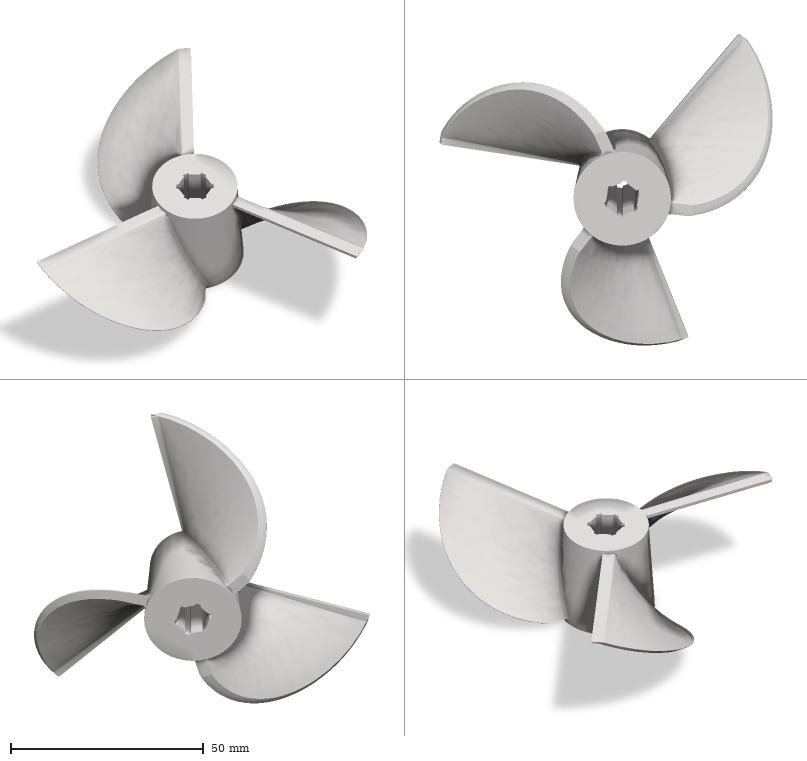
import cadquery as cq
import math

hub_height = 26.4
hub_top_radius = 11.1
hub_bottom_radius = 12.65
base_band_height = 0.5

bore_across_flats = 8.1
notch_width = 1.5
notch_tip_radius = 4.8
notch_count = 6

blade_count = 3
blade_top = 25.4
blade_pitch = 150.0
blade_width = 3.1
blade_root_radius = 8.0
top_edge_round = 0.9
rim_round = 0.2

rim_stations = [(0, 48.2), (14.5, 45.25), (28.3, 40.9), (41.5, 34.4), (51, 26.8), (57.6, 18.4)]
tip_radius = rim_stations[0][1]
final_turn = rim_stations[-1][0]

lip_depth = 1.0
lip_width = 1.9
lip_end_radius = 47.7

flare = 0.8
flare_overlap = 0.03
flare_inner_radius = 9.5
flare_section_count = 8

origin = cq.Vector(0, 0, 0)
z_axis = cq.Vector(0, 0, 1)


def hub_radius(height):
    """Radius of the tapered part of the hub."""
    rise = (height - base_band_height) / (hub_height - base_band_height)
    return hub_bottom_radius + rise * (hub_top_radius - hub_bottom_radius)


def helix_height(turn):
    """Height of the bar's cross section after it has turned by the given angle."""
    return blade_top - blade_pitch * turn / 360


def make_hub():
    """Tapered hub on a short cylindrical band."""
    band = cq.Workplane("XY").circle(hub_bottom_radius).extrude(base_band_height)
    cone = cq.Solid.makeCone(
        hub_bottom_radius,
        hub_top_radius,
        hub_height - base_band_height,
        pnt=cq.Vector(0, 0, base_band_height),
    )
    return band.union(cq.Workplane(cone))


def make_bore():
    """Hexagonal through bore with a notch across every corner."""
    across_corners = bore_across_flats / math.cos(math.pi / notch_count)
    bore = (
        cq.Workplane("XY")
        .polygon(notch_count, across_corners)
        .extrude(hub_height)
        .rotate(origin, z_axis, 180 / notch_count)
    )
    notch_bar = cq.Workplane("XY").rect(notch_width, 2 * notch_tip_radius).extrude(hub_height)
    for index in range(notch_count // 2):
        bore = bore.union(notch_bar.rotate(origin, z_axis, index * 360 / notch_count))
    return bore


def bar_section(turn, end_radius):
    """Horizontal outline of the bar after it has turned by the given angle."""
    return (
        cq.Workplane("XY")
        .workplane(offset=helix_height(turn))
        .moveTo(blade_root_radius, 0)
        .lineTo(end_radius, 0)
        .lineTo(end_radius, blade_width)
        .lineTo(blade_root_radius, blade_width)
        .close()
        .val()
        .rotate(origin, z_axis, turn)
    )


def flare_section(turn):
    """Horizontal outline of the concave flares on both sides of the bar at the hub."""
    height = helix_height(turn)
    radius = hub_radius(height)

    def hub_x(y):
        return math.sqrt(radius**2 - y**2)

    lower_y = -flare
    upper_y = blade_width + flare
    pull = flare * (1 - math.cos(math.pi / 4))
    return (
        cq.Workplane("XY")
        .workplane(offset=height)
        .moveTo(flare_inner_radius, lower_y)
        .lineTo(hub_x(lower_y) - flare_overlap, lower_y)
        .threePointArc((hub_x(0) + pull, -pull), (hub_x(0) + flare, flare_overlap))
        .lineTo(hub_x(blade_width) + flare, blade_width - flare_overlap)
        .threePointArc(
            (hub_x(blade_width) + pull, blade_width + pull),
            (hub_x(upper_y) - flare_overlap, upper_y),
        )
        .lineTo(flare_inner_radius, upper_y)
        .close()
        .val()
        .rotate(origin, z_axis, turn)
    )


def make_root_flare():
    """Flares following the blade root from under the lip down to the blade floor."""
    first_turn = 360 * lip_depth / blade_pitch
    step = (final_turn - first_turn) / (flare_section_count - 1)
    sections = [flare_section(first_turn + index * step) for index in range(flare_section_count)]
    return cq.Workplane(cq.Solid.makeLoft(sections))


def make_lip():
    """Bar giving the straight top edge an upright face of constant depth."""
    return (
        cq.Workplane("XY")
        .box(lip_end_radius - blade_root_radius, lip_width, lip_depth, centered=False)
        .translate((blade_root_radius, 0, blade_top - lip_depth))
    )


def make_blade():
    """Helical blade with its rounded edges and its lip."""
    sections = [bar_section(turn, end_radius) for turn, end_radius in rim_stations]
    blade = cq.Workplane(cq.Solid.makeLoft(sections))

    top_edge_middle = ((blade_root_radius + tip_radius) / 2, blade_width, blade_top)
    top_edge = cq.selectors.NearestToPointSelector(top_edge_middle)
    blade = blade.edges(top_edge).fillet(top_edge_round)

    upper_rim = max(blade.edges().vals(), key=lambda edge: edge.Length())
    blade = blade.newObject([upper_rim]).fillet(rim_round)
    return blade.union(make_lip())


blade = make_blade().union(make_root_flare())
result = make_hub()
for index in range(blade_count):
    result = result.union(blade.rotate(origin, z_axis, index * 360 / blade_count))
result = result.cut(make_bore())